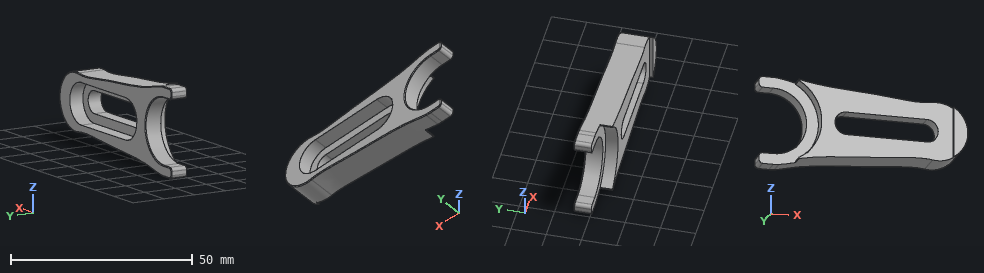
import cadquery as cq
import math


fork_radius = 25.4 / 2
bore_radius = 9.525
fork_reach = 4.05
fork_thickness = 5.0
tip_fillet = 1.0

arm_thickness = 8.5
end_radius = 8.5
end_center_x = 46.0
end_x = end_center_x + end_radius
flank_start_x = 1.6
flank_points = [(6.4, 11.58), (19.8, 9.82), (33.3, 8.78)]
flank_end_x = 44.65
rear_chamfer = 0.25

step_radius = 12.9
step_x = 6.4

lip_x = 50.45
lip_height = 1.0

slot_start_x = 20.0
slot_end_x = 43.0
slot_width = 6.5
recess_width = 12.0
recess_depth = 4.25

full_thickness = arm_thickness + lip_height
slot_pitch = slot_end_x - slot_start_x
slot_center_x = (slot_start_x + slot_end_x) / 2


def height_on_circle(radius, offset):
    """Half-height of a circle at a given distance from its centre."""
    return math.sqrt(radius**2 - offset**2)


def rear_plane():
    """Workplane on the rear face, with local y along Z and extrusion toward the front."""
    return cq.Workplane("XZ")


def make_blank():
    """Full-thickness profile with rounded fork tips and a chamfered rear rim."""
    flank_start = (flank_start_x, height_on_circle(fork_radius, flank_start_x))
    flank_end = (flank_end_x, height_on_circle(end_radius, flank_end_x - end_center_x))
    crown_x = flank_start_x / 2
    crown = (crown_x, height_on_circle(fork_radius, crown_x))

    start_direction = (flank_start[1], -flank_start[0])
    end_direction = (flank_end[1], end_center_x - flank_end[0])

    def mirrored(point):
        return (point[0], -point[1])

    def reversed_mirror(direction):
        return (-direction[0], direction[1])

    blank = (
        rear_plane()
        .moveTo(-fork_reach, bore_radius)
        .lineTo(-fork_reach, fork_radius)
        .lineTo(0, fork_radius)
        .threePointArc(crown, flank_start)
        .spline([*flank_points, flank_end], tangents=[start_direction, end_direction], includeCurrent=True)
        .threePointArc((end_x, 0), mirrored(flank_end))
        .spline(
            [*map(mirrored, reversed(flank_points)), mirrored(flank_start)],
            tangents=[reversed_mirror(end_direction), reversed_mirror(start_direction)],
            includeCurrent=True,
        )
        .threePointArc(mirrored(crown), (0, -fork_radius))
        .lineTo(-fork_reach, -fork_radius)
        .lineTo(-fork_reach, -bore_radius)
        .lineTo(0, -bore_radius)
        .threePointArc((bore_radius, 0), (0, bore_radius))
        .close()
        .extrude(full_thickness)
    )
    tip_edges = blank.faces("<X").edges("|Y")
    blank = blank.newObject(tip_edges.vals()).fillet(tip_fillet)
    return blank.faces(">Y").chamfer(rear_chamfer)


def block_left_of(right_x, depth):
    """Cutting block for everything left of right_x and in front of the given depth."""
    length = right_x + fork_reach
    return (
        rear_plane()
        .workplane(offset=depth)
        .center(right_x - length / 2, 0)
        .rect(length, 2 * fork_radius)
        .extrude(full_thickness - depth)
    )


def make_fork_step():
    """Material removed in front of the fork, ending in a round wall with short straight ends."""
    round_wall = (
        rear_plane()
        .workplane(offset=fork_thickness)
        .circle(step_radius)
        .extrude(full_thickness - fork_thickness)
    )
    return round_wall.union(block_left_of(step_x, fork_thickness))


def make_slot(width, depth):
    """Slot with round ends, cut from the rear face to the given depth."""
    return (
        rear_plane()
        .center(slot_center_x, 0)
        .slot2D(slot_pitch + width, width)
        .extrude(depth)
    )


result = (
    make_blank()
    .cut(block_left_of(lip_x, arm_thickness))
    .cut(make_fork_step())
    .cut(make_slot(slot_width, full_thickness))
    .cut(make_slot(recess_width, recess_depth))
)